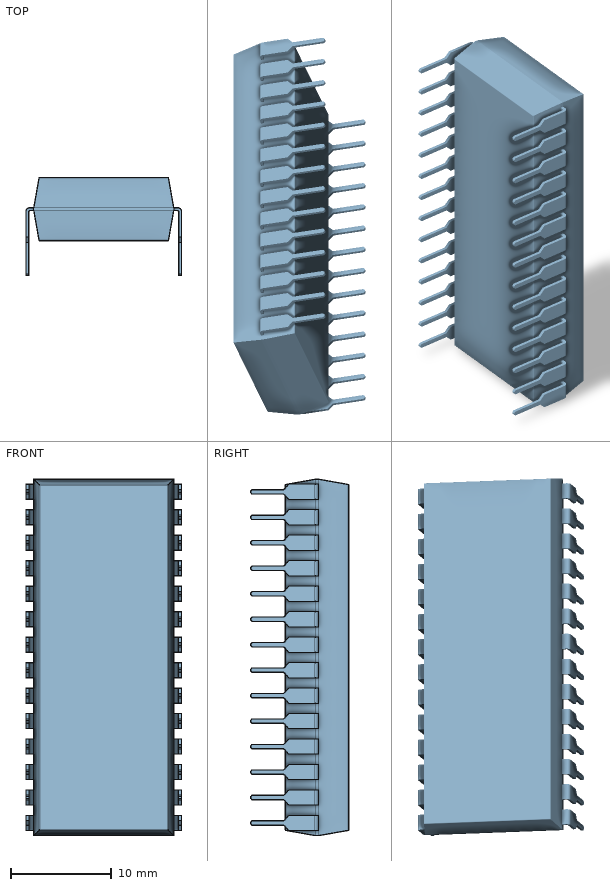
import cadquery as cq
import math

BODY_LENGTH = 35.56
BODY_WIDTH = 13.97
BODY_DEPTH = 6.35
DRAFT_ANGLE = 10.0
RIM_FILLET = 0.1

LEADS_PER_ROW = 14
LEAD_PITCH = 2.54
LEAD_THICKNESS = 0.3
ROW_SPACING = 15.24
BEND_INNER_RADIUS = 0.1
SHOULDER_WIDTH = 1.52
PIN_WIDTH = 0.46
SHOULDER_DROP = 2.95
TIP_CHAMFER = 0.15
LEAD_EMBED = 0.5
OVERALL_DEPTH = 9.8

half_band = LEAD_THICKNESS / 2
half_depth = BODY_DEPTH / 2
tip_y = half_depth - OVERALL_DEPTH
lead_outer_x = (ROW_SPACING + LEAD_THICKNESS) / 2
bend_outer_radius = BEND_INNER_RADIUS + LEAD_THICKNESS
row_length = (LEADS_PER_ROW - 1) * LEAD_PITCH


def make_body():
    """Flat parting band with a drafted half on each side and rounded rims."""
    half_height = half_depth - half_band
    band = cq.Workplane("XY").box(BODY_WIDTH, LEAD_THICKNESS, BODY_LENGTH)
    body = (
        band.faces(">Y").wires().toPending().workplane().extrude(half_height, taper=DRAFT_ANGLE)
        .faces("<Y").wires().toPending().workplane().extrude(half_height, taper=DRAFT_ANGLE)
    )
    return body.faces("<Y or >Y").edges().fillet(RIM_FILLET)


def make_bent_strip():
    """L-shaped strip in the XY plane, as wide as the shoulder, centred on Z = 0."""
    inner_end_x = BODY_WIDTH / 2 - LEAD_EMBED
    inner_face_x = lead_outer_x - LEAD_THICKNESS
    bend_x = lead_outer_x - bend_outer_radius
    bend_y = half_band - bend_outer_radius
    diagonal = math.sqrt(0.5)
    return (
        cq.Workplane("XY")
        .moveTo(inner_end_x, half_band)
        .lineTo(bend_x, half_band)
        .threePointArc(
            (bend_x + bend_outer_radius * diagonal, bend_y + bend_outer_radius * diagonal),
            (lead_outer_x, bend_y),
        )
        .lineTo(lead_outer_x, tip_y)
        .lineTo(inner_face_x, tip_y)
        .lineTo(inner_face_x, bend_y)
        .threePointArc(
            (bend_x + BEND_INNER_RADIUS * diagonal, bend_y + BEND_INNER_RADIUS * diagonal),
            (bend_x, -half_band),
        )
        .lineTo(inner_end_x, -half_band)
        .close()
        .extrude(SHOULDER_WIDTH / 2, both=True)
    )


def make_lead_outline():
    """Block with the lead's YZ outline: wide shoulder, 45 degree taper, thin pin."""
    half_shoulder = SHOULDER_WIDTH / 2
    half_pin = PIN_WIDTH / 2
    taper_start_y = half_band - SHOULDER_DROP
    taper_end_y = taper_start_y - (half_shoulder - half_pin)
    upper_side = [
        (half_band, half_shoulder),
        (taper_start_y, half_shoulder),
        (taper_end_y, half_pin),
        (tip_y + TIP_CHAMFER, half_pin),
        (tip_y, half_pin - TIP_CHAMFER),
    ]
    lower_side = [(y, -z) for y, z in reversed(upper_side)]
    return cq.Workplane("YZ").polyline(upper_side + lower_side).close().extrude(lead_outer_x)


def make_lead():
    """Bent lead of the +X row, centred on Z = 0."""
    return make_bent_strip().intersect(make_lead_outline())


def make_part():
    """Body with a row of leads along each long side."""
    part = make_body()
    right_lead = make_lead()
    left_lead = right_lead.mirror("YZ")
    for index in range(LEADS_PER_ROW):
        z = index * LEAD_PITCH - row_length / 2
        for lead in (right_lead, left_lead):
            part = part.union(lead.translate((0, 0, z)))
    return part


result = make_part()